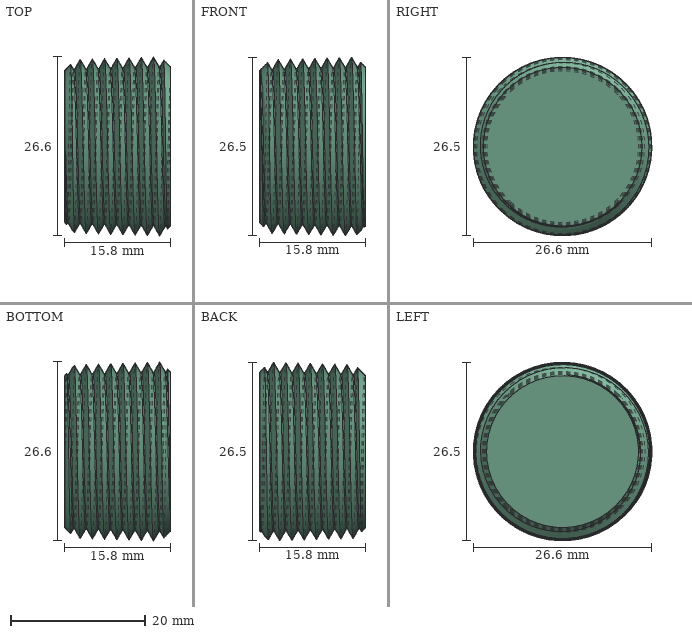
import cadquery as cq
import math

length = 15.75
pitch = 1.815
taper = 1 / 32
crest_radius = 12.85
thread_depth = 1.4
flank_angle = 30
small_face_radius = 11.28
large_face_radius = 11.78
first_crest_x = 0.5
overrun_turns = 2
overlap = 0.05

cone_angle = math.degrees(math.atan(taper))
root_radius = crest_radius - thread_depth
ridge_depth = thread_depth + overlap
ridge_half_width = ridge_depth * math.tan(math.radians(flank_angle))
thread_start = first_crest_x - overrun_turns * pitch
thread_turns = math.ceil(length / pitch) + 2 * overrun_turns


def tapered_helix(axial_offset, depth):
    """Helix about Z, at the given depth below the crest cone."""
    start = thread_start + axial_offset
    radius = crest_radius - depth + taper * start
    slant_pitch = pitch / math.cos(math.radians(cone_angle))
    return cq.Wire.makeHelix(
        slant_pitch, slant_pitch * thread_turns, radius, cq.Vector(0, 0, start), angle=cone_angle
    )


def thread_ridge():
    """Triangular helical ridge, closed by a flat triangle at each end."""
    helices = [
        tapered_helix(-ridge_half_width, ridge_depth),
        tapered_helix(0, 0),
        tapered_helix(ridge_half_width, ridge_depth),
    ]
    faces = [cq.Face.makeRuledSurface(helices[i - 1], helices[i]) for i in range(3)]
    for end in (0, 1):
        corners = [helix.positionAt(end) for helix in helices]
        faces.append(cq.Face.makeFromWires(cq.Wire.makePolygon(corners, close=True)))
    return cq.Solid.makeSolid(cq.Shell.makeShell(faces))


def core():
    """Cone at the thread root."""
    return cq.Solid.makeCone(root_radius, root_radius + taper * length, length)


def chamfered_envelope():
    """Cylinder clear of the crests, with a 45 degree chamfer down to each end face."""
    outer_radius = crest_radius + taper * length + thread_depth
    outline = [
        (0, 0),
        (small_face_radius, 0),
        (outer_radius, outer_radius - small_face_radius),
        (outer_radius, length - (outer_radius - large_face_radius)),
        (large_face_radius, length),
        (0, length),
    ]
    return cq.Workplane("XZ").polyline(outline).close().revolve(360, (0, 0), (0, 1))


threaded_bar = cq.Workplane(core()).union(cq.Workplane(thread_ridge()))
plug = threaded_bar.intersect(chamfered_envelope())

result = plug.rotate((0, 0, 0), (1, 1, 1), 120)